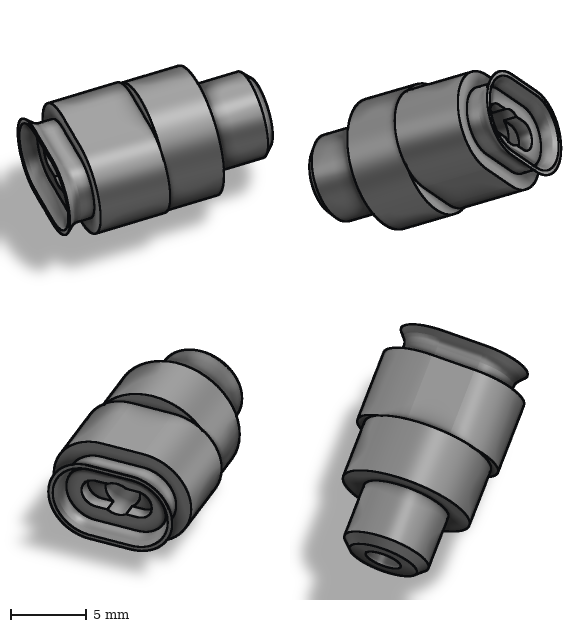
import cadquery as cq
import math

total_length = 15.5
lip_length = 2.0
body_length = 5.0
collar_length = 4.09
collar_diameter = 9.0
pin_diameter = 6.0
pin_chamfer = 0.6
bore_diameter = 2.5

arc_centre_spacing = 3.0
body_width = 10.0
rim_width = 9.0
neck_width = 7.81
slot_width = 5.1
slot_depth = 1.0

wall_thickness = 0.25
flare_angle = math.radians(40)
flare_length = 1.05

body_end = lip_length + body_length
collar_end = body_end + collar_length
neck_radius = (neck_width - arc_centre_spacing) / 2
rim_radius = (rim_width - arc_centre_spacing) / 2

flare_rise = rim_radius - neck_radius
curve_radius = (flare_length * math.tan(flare_angle) - flare_rise) / (1 / math.cos(flare_angle) - 1)


def obround(width, start, length):
    """Extruded obround, rounded at its two X ends."""
    height = width - arc_centre_spacing
    return (
        cq.Workplane("XZ", origin=(0, start, 0))
        .slot2D(width, height)
        .extrude(-length)
    )


def cylinder(diameter, start, length):
    """Round bar along Y."""
    return cq.Workplane("XZ", origin=(0, start, 0)).circle(diameter / 2).extrude(-length)


def flare_solid(inset):
    """Solid obround flare, its surface moved inward by the inset."""
    radius = curve_radius + inset
    arc_centre = neck_radius + curve_radius

    def curve_point(angle):
        return (arc_centre - radius * math.cos(angle), flare_length - radius * math.sin(angle))

    cone_end_radius, cone_end = curve_point(flare_angle)
    rim_edge = cone_end_radius + cone_end * math.tan(flare_angle)

    half_spacing = arc_centre_spacing / 2

    def half_section(plane):
        return (
            cq.Workplane(plane, origin=(half_spacing, 0, 0))
            .lineTo(rim_edge, 0)
            .lineTo(cone_end_radius, cone_end)
            .threePointArc(curve_point(flare_angle / 2), curve_point(0))
            .lineTo(0, flare_length)
            .close()
        )

    end = half_section("XY").revolve(360, (0, 0, 0), (0, 1, 0))
    upper = half_section("ZY").extrude(arc_centre_spacing)
    return end.union(end.mirror("YZ")).union(upper).union(upper.mirror("XY"))


body = obround(body_width, lip_length, body_length)
collar = cylinder(collar_diameter, body_end, collar_length)
pin = cylinder(pin_diameter, collar_end, total_length - collar_end).faces(">Y").chamfer(pin_chamfer)

neck = obround(neck_width, flare_length, lip_length - flare_length)
lip = flare_solid(0).cut(flare_solid(wall_thickness))

slot = obround(slot_width, flare_length, slot_depth)
bore = cylinder(bore_diameter, 0, total_length)

result = body.union(collar).union(pin).union(neck).union(lip).cut(slot).cut(bore)